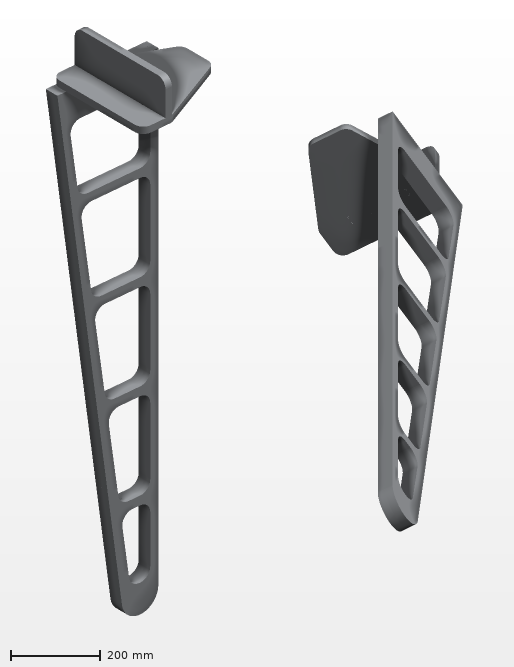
import cadquery as cq
import math

SHEET = 20.0

LEG_LAYERS = 2
LEG_HEIGHT = 1473.0
LEG_DEPTH = 305.0
LEG_FOOT_RADIUS = 55.0
BACK_RAIL = 25.0
FRONT_RAIL_TOP = 23.0
FRONT_RAIL_FOOT = 30.0
WINDOW_RADIUS = 30.0
LOWEST_WINDOW_BOTTOM = 84.0
HIGHEST_WINDOW_TOP = 1385.0
CROSSBAR_COUNT = 4
CROSSBAR_PITCH = 288.0
CROSSBAR_WIDTH = 26.0

SHELF_WIDTH = LEG_DEPTH
SHELF_DEPTH = LEG_DEPTH
SHELF_GAP = 25.0
SHELF_SHOULDER = 89.0
SHELF_BACK_WIDTH = 102.0
SHELF_CORNER_RADIUS = 26.0

BACKREST_HEIGHT = 102.0
BACKREST_FRONT = 70.0
BACKREST_RADIUS = 26.0
TAB_WIDTH = SHELF_WIDTH / 2
RELIEF_RADIUS = 3.0

SHELF_BOTTOM = LEG_HEIGHT + SHELF_GAP
SHELF_TOP = SHELF_BOTTOM + SHEET
SHELF_MID_X = SHEET + SHELF_WIDTH / 2

FOOT_Y = LEG_DEPTH - LEG_FOOT_RADIUS
FOOT_Z = LEG_FOOT_RADIUS
CORNER_DISTANCE = math.hypot(FOOT_Y, LEG_HEIGHT - FOOT_Z)
EDGE_SLOPE = math.atan2(FOOT_Y, LEG_HEIGHT - FOOT_Z) - math.asin(LEG_FOOT_RADIUS / CORNER_DISTANCE)


def front_edge_y(z):
    """Y of the leg's sloping front edge at height z."""
    return (LEG_HEIGHT - z) * math.tan(EDGE_SLOPE)


def window_front_y(z):
    """Y of the sloping side of the windows at height z."""
    rail = FRONT_RAIL_FOOT + (FRONT_RAIL_TOP - FRONT_RAIL_FOOT) * z / LEG_HEIGHT
    return front_edge_y(z) + rail


def window_spans():
    """Bottom and top heights of every window, from the foot upward."""
    bar_bottoms = [CROSSBAR_PITCH * (bar + 1) for bar in range(CROSSBAR_COUNT)]
    bottoms = [LOWEST_WINDOW_BOTTOM] + [z + CROSSBAR_WIDTH for z in bar_bottoms]
    tops = bar_bottoms + [HIGHEST_WINDOW_TOP]
    return zip(bottoms, tops)


def make_window(bottom, top):
    """Rounded opening between the rails of a leg frame."""
    back = LEG_DEPTH - BACK_RAIL
    return (
        cq.Workplane("YZ")
        .moveTo(back, bottom)
        .lineTo(back, top)
        .lineTo(window_front_y(top), top)
        .lineTo(window_front_y(bottom), bottom)
        .close()
        .extrude(SHEET)
        .edges("|X")
        .fillet(WINDOW_RADIUS)
    )


def make_leg_frame(left):
    """One layer of the leg, with its -X face at x = left."""
    tangent_y = FOOT_Y - LEG_FOOT_RADIUS * math.cos(EDGE_SLOPE)
    tangent_z = FOOT_Z - LEG_FOOT_RADIUS * math.sin(EDGE_SLOPE)
    frame = (
        cq.Workplane("YZ")
        .moveTo(0, LEG_HEIGHT)
        .lineTo(tangent_y, tangent_z)
        .threePointArc((FOOT_Y, 0), (LEG_DEPTH, FOOT_Z))
        .lineTo(LEG_DEPTH, LEG_HEIGHT)
        .close()
        .extrude(SHEET)
    )
    for bottom, top in window_spans():
        frame = frame.cut(make_window(bottom, top))
    return frame.translate((left, 0, 0))


def make_tab():
    """Middle block of the backrest's lower edge, as deep as the shelf is thick."""
    return (
        cq.Workplane("XY")
        .box(TAB_WIDTH, SHEET, SHEET, centered=(True, False, False))
        .translate((SHELF_MID_X, BACKREST_FRONT, SHELF_BOTTOM))
    )


def make_corner_reliefs():
    """Cylinders through the corners of the tab slot, centred inside it on the diagonals."""
    inset = RELIEF_RADIUS / math.sqrt(2)
    return (
        cq.Workplane("XY", origin=(SHELF_MID_X, BACKREST_FRONT + SHEET / 2, SHELF_BOTTOM))
        .rect(TAB_WIDTH - 2 * inset, SHEET - 2 * inset, forConstruction=True)
        .vertices()
        .circle(RELIEF_RADIUS)
        .extrude(SHEET)
    )


def make_shelf():
    """Plate with a tapered back and a through slot for the backrest tab."""
    plate = (
        cq.Workplane("XY", origin=(SHELF_MID_X, 0, SHELF_BOTTOM))
        .moveTo(-SHELF_WIDTH / 2, 0)
        .lineTo(SHELF_WIDTH / 2, 0)
        .lineTo(SHELF_WIDTH / 2, SHELF_SHOULDER)
        .lineTo(SHELF_BACK_WIDTH / 2, SHELF_DEPTH)
        .lineTo(-SHELF_BACK_WIDTH / 2, SHELF_DEPTH)
        .lineTo(-SHELF_WIDTH / 2, SHELF_SHOULDER)
        .close()
        .extrude(SHEET)
        .edges("|Z")
        .fillet(SHELF_CORNER_RADIUS)
    )
    return plate.cut(make_tab()).cut(make_corner_reliefs())


def make_backrest():
    """Upright panel with rounded top corners and a tab filling the shelf slot."""
    panel = (
        cq.Workplane("XY")
        .box(SHELF_WIDTH, SHEET, BACKREST_HEIGHT, centered=(True, False, False))
        .edges("|Y and >Z")
        .fillet(BACKREST_RADIUS)
        .translate((SHELF_MID_X, BACKREST_FRONT, SHELF_TOP))
    )
    return panel.union(make_tab())


leg_frames = [make_leg_frame(layer * SHEET) for layer in range(LEG_LAYERS)]
shelf = make_shelf()
backrest = make_backrest()

result = cq.Compound.makeCompound([*[frame.val() for frame in leg_frames], shelf.val(), backrest.val()])